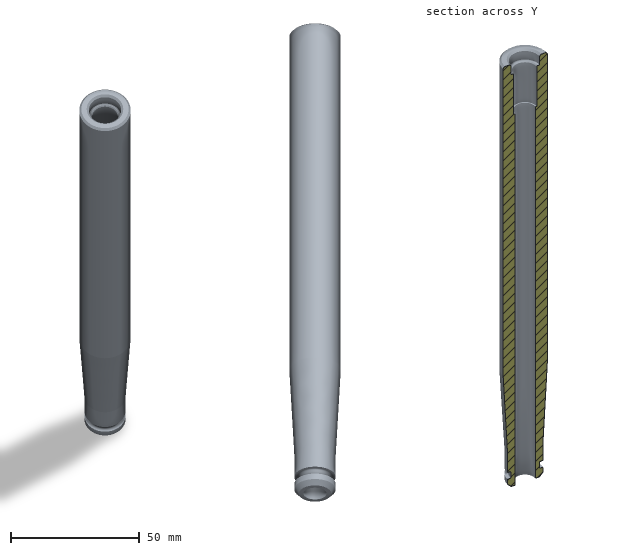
import cadquery as cq

total_length = 206.0
shank_diameter = 20.0
top_chamfer = 0.8

neck_top_z = 55.5
spigot_diameter = 16.0
spigot_top_z = 17.0
end_diameter = 12.5
end_chamfer_height = 1.9

groove_diameter = 13.0
groove_fillet = 0.5
groove_bottom_z = 4.3
groove_top_z = 7.5

through_diameter = 9.0
pilot_diameter = 10.0
pilot_depth = 24.7
socket_diameter = 12.5
socket_depth = 5.0
seat_diameter = 11.0
mouth_diameter = 14.2
mouth_chamfer_height = 0.8

shank_radius = shank_diameter / 2
spigot_radius = spigot_diameter / 2
through_radius = through_diameter / 2
pilot_radius = pilot_diameter / 2
socket_radius = socket_diameter / 2
seat_radius = seat_diameter / 2
mouth_radius = mouth_diameter / 2


def revolve_profile(points):
    """Revolve a closed (radius, height) outline around the Z axis."""
    return cq.Workplane("XZ").polyline(points).close().revolve(360, (0, 0, 0), (0, 1, 0))


def make_body():
    return revolve_profile([
        (0, 0),
        (end_diameter / 2, 0),
        (spigot_radius, end_chamfer_height),
        (spigot_radius, spigot_top_z),
        (shank_radius, neck_top_z),
        (shank_radius, total_length - top_chamfer),
        (shank_radius - top_chamfer, total_length),
        (0, total_length),
    ])


def make_groove():
    """Make the ring cutter for the groove, rounded where its walls meet its floor."""
    floor_radius = groove_diameter / 2
    ring = revolve_profile([
        (floor_radius, groove_bottom_z),
        (shank_radius, groove_bottom_z),
        (shank_radius, groove_top_z),
        (floor_radius, groove_top_z),
    ])
    floor_edges = cq.selectors.RadiusNthSelector(0)
    return ring.edges("%CIRCLE").edges(floor_edges).fillet(groove_fillet)


def make_bore():
    socket_floor_z = total_length - socket_depth
    seat_height = seat_radius - pilot_radius
    pilot_floor_z = total_length - pilot_depth
    return revolve_profile([
        (0, 0),
        (through_radius, 0),
        (through_radius, pilot_floor_z),
        (pilot_radius, pilot_floor_z),
        (pilot_radius, socket_floor_z - seat_height),
        (seat_radius, socket_floor_z),
        (socket_radius, socket_floor_z),
        (socket_radius, total_length - mouth_chamfer_height),
        (mouth_radius, total_length),
        (0, total_length),
    ])


result = make_body().cut(make_groove()).cut(make_bore())